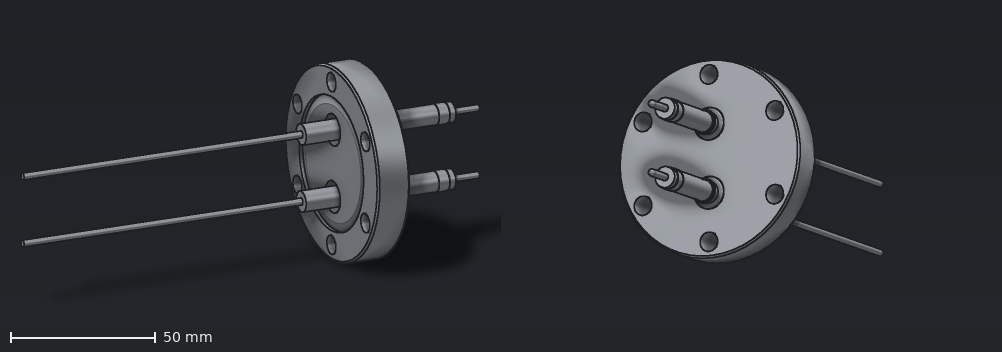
import cadquery as cq
import math

flange_diameter = 69.9
flange_thickness = 12.6
edge_chamfer = 0.7

bolt_count = 6
bolt_circle_radius = 29.3
bolt_hole_diameter = 6.8

recess_radius = 24.2
knife_radius = 21.0
knife_depth = 0.5
recess_depth = 1.5

feed_offset = 12.1
feed_heights = (feed_offset, -feed_offset)
clearance_radius = 5.7

rod_radius = 1.2
rod_length = 177.8
rod_front = -120.2
rod_rear = rod_front + rod_length
tip_fillet = 0.9

tube_radius = 3.7
tube_front = -11.7
tube_rear = 46.5
collar_radius = 4.0
rear_collar_start = 40.0
rear_collar_end = 44.5
rear_collar_chamfer = 0.4
sleeve_end = 17.2
lip_radius = 4.3
lip_start = 16.2
lip_end = 16.7

flare_wall = 0.4
flare_height = 1.2
flare_outer_arc = clearance_radius - collar_radius
flare_inner_arc = flare_outer_arc + flare_wall
flare_top = flange_thickness + flare_height


def cylinder(radius, start, end):
    """Cylinder on the Y axis from y = start to y = end."""
    return cq.Workplane("XZ", origin=(0, start, 0)).circle(radius).extrude(start - end)


def revolve_about_y(profile):
    """Revolve a closed (radius, y) profile about the Y axis."""
    return profile.revolve(360, (0, 0, 0), (0, 1, 0))


def make_recess():
    profile = (
        cq.Workplane("XY")
        .lineTo(recess_radius, 0)
        .lineTo(recess_radius, recess_depth)
        .lineTo(knife_radius, knife_depth)
        .lineTo(0, knife_depth)
        .close()
    )
    return revolve_about_y(profile)


def make_flange():
    flange = cylinder(flange_diameter / 2, 0, flange_thickness).edges().chamfer(edge_chamfer)
    bolt_holes = (
        cq.Workplane("XZ")
        .polarArray(bolt_circle_radius, startAngle=90, angle=360, count=bolt_count)
        .circle(bolt_hole_diameter / 2)
        .extrude(-flange_thickness)
    )
    clearance_holes = (
        cq.Workplane("XZ")
        .pushPoints([(0, height) for height in feed_heights])
        .circle(clearance_radius)
        .extrude(-flange_thickness)
    )
    return flange.cut(make_recess()).cut(bolt_holes).cut(clearance_holes)


def make_flare():
    """Thin foot curving outward from the sleeve to the wall of the clearance hole.

    Both of its arcs are centred at (clearance_radius, flare_top); the inner one stops on the tube.
    """
    gap = clearance_radius - tube_radius
    inner_arc_stop = flare_top - math.sqrt(flare_inner_arc**2 - gap**2)
    profile = (
        cq.Workplane("XY")
        .moveTo(0, inner_arc_stop)
        .lineTo(tube_radius, inner_arc_stop)
        .radiusArc((clearance_radius, flare_top - flare_inner_arc), -flare_inner_arc)
        .lineTo(clearance_radius, flare_top - flare_outer_arc)
        .radiusArc((collar_radius, flare_top), flare_outer_arc)
        .lineTo(0, flare_top)
        .close()
    )
    return revolve_about_y(profile)


def make_rear_collar():
    collar = cylinder(collar_radius, rear_collar_start, rear_collar_end)
    return collar.faces(">Y").chamfer(rear_collar_chamfer)


def make_rod():
    rod = cylinder(rod_radius, rod_front, rod_rear)
    return rod.faces(">Y").edges().fillet(tip_fillet)


def make_feedthrough():
    """Rod, insulator tube, collars and flared foot, all on the Y axis."""
    parts = [
        cylinder(tube_radius, tube_front, tube_rear),
        make_rear_collar(),
        cylinder(collar_radius, flare_top, sleeve_end),
        cylinder(lip_radius, lip_start, lip_end),
        make_flare(),
    ]
    feedthrough = make_rod()
    for part in parts:
        feedthrough = feedthrough.union(part)
    return feedthrough


result = make_flange()
for height in feed_heights:
    result = result.union(make_feedthrough().translate((0, 0, height)))